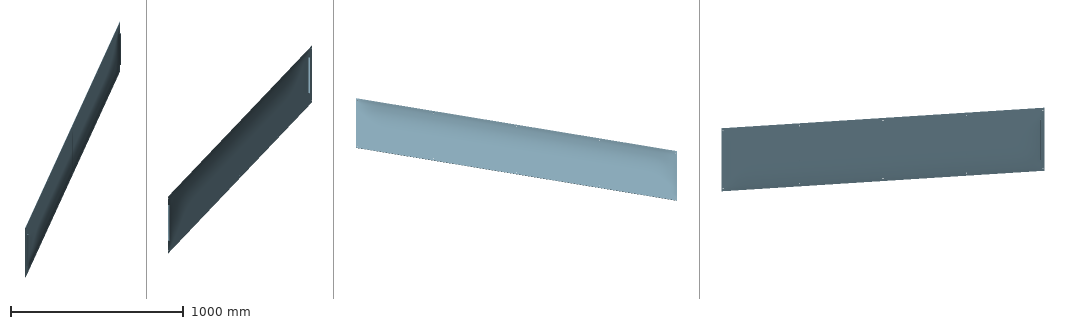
import cadquery as cq

panel_length = 1917.0
panel_height = 380.0
total_depth = 12.0
panel_thickness = 2.0

hole_diameter = 5.0
hole_row_z = 175.0
middle_hole_spacing = 497.0
end_hole_y = 949.0

strip_height = 240.0
strip_width = panel_thickness
strip_y = 935.0

panel_back_x = panel_thickness - total_depth / 2


def make_panel():
    """Sheet whose front face lies at the -X limit of the part."""
    return (
        cq.Workplane("YZ", origin=(-total_depth / 2, 0, 0))
        .rect(panel_length, panel_height)
        .extrude(panel_thickness)
    )


def make_strips():
    """Pair of strips standing on the back face of the panel."""
    return (
        cq.Workplane("YZ", origin=(panel_back_x, 0, 0))
        .pushPoints([(-strip_y, 0), (strip_y, 0)])
        .rect(strip_width, strip_height)
        .extrude(total_depth - panel_thickness)
    )


def make_hole_cutters():
    """Cylinders passing through the panel at every screw position."""
    columns = [-end_hole_y, -middle_hole_spacing, 0, middle_hole_spacing, end_hole_y]
    positions = [(y, z) for y in columns for z in (-hole_row_z, hole_row_z)]
    return (
        cq.Workplane("YZ", origin=(-total_depth / 2, 0, 0))
        .pushPoints(positions)
        .circle(hole_diameter / 2)
        .extrude(panel_thickness)
    )


result = make_panel().union(make_strips()).cut(make_hole_cutters())